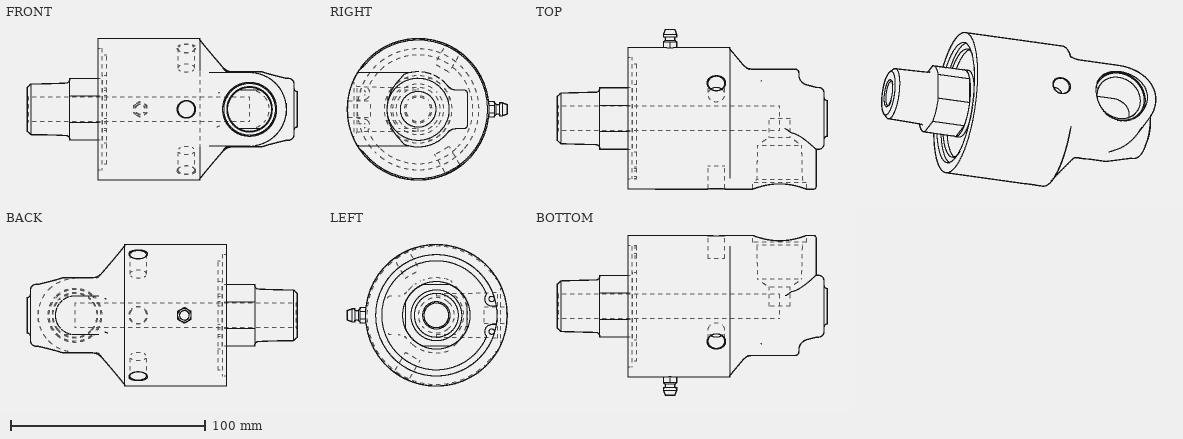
import cadquery as cq
import math


OVERALL_LENGTH = 139.0
TIP_CHAMFER_END = 1.9
THREAD_END = 20.3
SQUARE_START = 21.8
BODY_START = 36.4
FLATS_END = 38.8
BODY_END = 88.9
PORT_X = 114.45
NECK_TAPER_START = 120.5
NECK_TAPER_END = 133.4
CAP_END = 137.4

SHAFT_DIA = 34.8
SQUARE_ACROSS_FLATS = 31.75
SQUARE_CORNER_DIA = 34.5
TIP_DIA = 22.63
THREAD_START_DIA = 26.2
THREAD_END_DIA = 27.18
RUNOUT_DIA = 30.4
RUNOUT_RADIUS = 1.8
SHAFT_BORE_DIA = 12.7
SHAFT_BORE_CHAMFER = 0.7

BODY_DIA = 73.0
RECESS_DIA = 62.5
RECESS_DEPTH = 4.4
RING_DEPTH = 2.2
RING_INNER_DIA = 56.2
LUG_DIA = 7.2
LUG_HOLE_DIA = 2.79
LUG_HOLE_Y = -28.5
LUG_HOLE_Z = 8.4

CONE_START_DIA = 71.4
CONE_ANGLE = 50.0
NECK_DIA = 38.8
NECK_BLEND = 6.0
CAP_DIA = 32.0
CAP_FILLET = 3.0
CAP_BOSS_DIA = 18.4

PORT_HALF_HEIGHT = 18.9
PORT_EDGE_FILLET = 1.5
PORT_MOUTH_DIA = 27.8
PORT_MOUTH_END_Y = -33.0
PORT_SEAT_DIA = 26.6
PORT_THREAD_DIA = 23.4
PORT_BORE_DIA = 22.63

PAD_RADIUS = 10.0
PAD_FACE_Y = 25.4
PAD_EDGE_FILLET = 2.0
PAD_BLEND = 5.3

TUBE_DIA = 28.0
TUBE_HEIGHT = 19.8

WEEP_X = 81.9
WEEP_DIA = 8.6
WEEP_MOUTH_DIA = 9.6
WEEP_DEPTH = 12.0
WEEP_COUNT = 3

NIPPLE_X = 58.1
NIPPLE_HEX_FLATS = 7.0
NIPPLE_HEX_HEIGHT = 2.8
NIPPLE_SHOULDER_HEIGHT = 3.6
NIPPLE_NECK_HEIGHT = 5.4
NIPPLE_BALL_HEIGHT = 6.8
NIPPLE_HEIGHT = 9.38
NIPPLE_NECK_DIA = 5.36
NIPPLE_WAIST_DIA = 4.9
NIPPLE_BALL_DIA = 6.9
NIPPLE_TIP_DIA = 4.9

OVERLAP = 6.0
PICK_MARGIN = 0.2


def disc(x_start, x_end, dia):
    """Cylinder on the main axis between two stations."""
    return cq.Workplane("YZ", origin=(x_start, 0, 0)).circle(dia / 2).extrude(x_end - x_start)


def turned(points):
    """Solid of revolution about the main axis from (x, radius) points."""
    return cq.Workplane("XY").polyline(points).close().revolve(360, (0, 0, 0), (1, 0, 0))


def turned_about_y(x, points):
    """Solid of revolution about a Y-parallel axis at x, from (radius, y) points."""
    profile = cq.Workplane("XY", origin=(x, 0, 0)).polyline(points).close()
    return profile.revolve(360, (0, 0, 0), (0, 1, 0))


def edges_in_box(solid, low, high):
    """Edges of the solid that lie wholly inside the box, widened by a small margin."""
    low_corner = [value - PICK_MARGIN for value in low]
    high_corner = [value + PICK_MARGIN for value in high]
    return solid.edges(cq.selectors.BoxSelector(low_corner, high_corner, boundingbox=True)).vals()


def blend(solid, radius, edges):
    return cq.Workplane(solid.val().fillet(radius, edges))


def make_shaft():
    """Taper-threaded shaft with a run-out fillet and a square with turned corners."""
    disc_face = BODY_START + RECESS_DEPTH
    shaft = (
        cq.Workplane("XY")
        .lineTo(0, TIP_DIA / 2)
        .lineTo(TIP_CHAMFER_END, THREAD_START_DIA / 2)
        .lineTo(THREAD_END, THREAD_END_DIA / 2)
        .radiusArc((SQUARE_START, RUNOUT_DIA / 2), -RUNOUT_RADIUS)
        .lineTo(SQUARE_START, SHAFT_DIA / 2)
        .lineTo(disc_face + OVERLAP, SHAFT_DIA / 2)
        .lineTo(disc_face + OVERLAP, 0)
        .close()
        .revolve(360, (0, 0, 0), (1, 0, 0))
    )
    flats = disc(SQUARE_START, FLATS_END, SHAFT_DIA + OVERLAP).cut(
        cq.Workplane("YZ", origin=(SQUARE_START, 0, 0))
        .rect(SQUARE_ACROSS_FLATS, SQUARE_ACROSS_FLATS)
        .extrude(FLATS_END - SQUARE_START)
        .intersect(disc(SQUARE_START, FLATS_END, SQUARE_CORNER_DIA))
    )
    return shaft.cut(flats)


def make_snap_ring():
    """Open ring lying on the recess floor, with a drilled lug at each end of its gap."""
    ring_start = BODY_START + RING_DEPTH
    ring_end = BODY_START + RECESS_DEPTH + OVERLAP
    plane = cq.Workplane("YZ", origin=(ring_start, 0, 0))
    thickness = ring_end - ring_start
    hole_points = [(LUG_HOLE_Y, LUG_HOLE_Z), (LUG_HOLE_Y, -LUG_HOLE_Z)]
    lug_bar_points = [(y - LUG_DIA / 2, z) for y, z in hole_points]
    gap_width = 2 * LUG_HOLE_Z - LUG_DIA

    ring = plane.circle(RECESS_DIA / 2).circle(RING_INNER_DIA / 2).extrude(thickness)
    gap = plane.center(-RECESS_DIA / 2, 0).rect(RECESS_DIA, 2 * LUG_HOLE_Z).extrude(thickness)
    lugs = plane.pushPoints(hole_points).circle(LUG_DIA / 2).extrude(thickness)
    lug_bars = plane.pushPoints(lug_bar_points).rect(LUG_DIA, LUG_DIA).extrude(thickness)
    lugs = lugs.union(lug_bars).intersect(disc(ring_start, ring_end, RECESS_DIA))
    holes = plane.pushPoints(hole_points).circle(LUG_HOLE_DIA / 2).extrude(RECESS_DEPTH - RING_DEPTH)
    gap_clear = plane.center(-RECESS_DIA / 2, 0).rect(RECESS_DIA, gap_width).extrude(thickness)
    return ring.cut(gap).union(lugs).cut(gap_clear).cut(holes)


def make_body():
    """Main cylinder with the front recess."""
    body = disc(BODY_START, BODY_END, BODY_DIA)
    return body.cut(disc(BODY_START, BODY_START + RECESS_DEPTH, RECESS_DIA))


def round_ended_prism(x_start, half_height, y_start, y_end):
    """Prism along Y whose +X end is rounded about the port axis."""
    return (
        cq.Workplane("XZ", origin=(0, y_start, 0))
        .moveTo(x_start, -half_height)
        .lineTo(PORT_X, -half_height)
        .threePointArc((PORT_X + half_height, 0), (PORT_X, half_height))
        .lineTo(x_start, half_height)
        .close()
        .extrude(y_start - y_end)
    )


def make_cap_boss():
    """Low boss on the end cap, flared into the cap face by a quarter round."""
    boss_r = CAP_BOSS_DIA / 2
    flare = OVERALL_LENGTH - CAP_END
    return (
        cq.Workplane("XY")
        .moveTo(CAP_END - OVERLAP, 0)
        .lineTo(CAP_END - OVERLAP, boss_r + flare)
        .lineTo(CAP_END, boss_r + flare)
        .radiusArc((OVERALL_LENGTH, boss_r), -flare)
        .lineTo(OVERALL_LENGTH, 0)
        .close()
        .revolve(360, (0, 0, 0), (1, 0, 0))
    )


def make_head():
    """Cone, neck, port block and pad, blended together and trimmed to the body diameter."""
    neck_r = NECK_DIA / 2
    slope = math.tan(math.radians(CONE_ANGLE))
    neck_start = BODY_END + (CONE_START_DIA / 2 - neck_r) / slope
    cone_base_x = BODY_END - OVERLAP
    cone_base_r = CONE_START_DIA / 2 + OVERLAP * slope
    core = turned(
        [
            (cone_base_x, 0),
            (cone_base_x, cone_base_r),
            (neck_start, neck_r),
            (NECK_TAPER_START, neck_r),
            (NECK_TAPER_END, CAP_DIA / 2),
            (CAP_END, CAP_DIA / 2),
            (CAP_END, 0),
        ]
    )
    core = core.edges(">X").fillet(CAP_FILLET)
    block = round_ended_prism(cone_base_x, PORT_HALF_HEIGHT, 0, -BODY_DIA)
    pad = round_ended_prism(BODY_END, PAD_RADIUS, PAD_FACE_Y, 0)
    pad = pad.faces(">Y").edges("not <X").fillet(PAD_EDGE_FILLET)
    head = core.union(block).union(pad)

    pad_foot_y = math.sqrt(neck_r**2 - PAD_RADIUS**2)
    pad_end_x = PORT_X + PAD_RADIUS
    pad_edges = edges_in_box(head, (neck_start, pad_foot_y, -PAD_RADIUS), (pad_end_x, neck_r, PAD_RADIUS))
    for z in (-PAD_RADIUS, PAD_RADIUS):
        pad_edges += edges_in_box(head, (BODY_END, pad_foot_y, z), (neck_start, PAD_FACE_Y, z))
    head = blend(head, PAD_BLEND, pad_edges)

    cone_edges = edges_in_box(head, (neck_start, -neck_r, -neck_r), (neck_start, neck_r, neck_r))
    for z in (-PORT_HALF_HEIGHT, PORT_HALF_HEIGHT):
        cone_edges += edges_in_box(head, (cone_base_x, -cone_base_r, z), (neck_start, 0, z))
    head = blend(head, NECK_BLEND, cone_edges)

    head = head.intersect(disc(BODY_END - OVERLAP / 2, OVERALL_LENGTH, BODY_DIA))
    rim_y = -math.sqrt((BODY_DIA / 2) ** 2 - PORT_HALF_HEIGHT**2)
    block_end_x = PORT_X + PORT_HALF_HEIGHT
    rim_low = (BODY_END, -BODY_DIA / 2, -PORT_HALF_HEIGHT)
    rim_high = (block_end_x, rim_y, PORT_HALF_HEIGHT)
    head = blend(head, PORT_EDGE_FILLET, edges_in_box(head, rim_low, rim_high))
    return head.union(make_cap_boss())


def make_nipple():
    """Grease nipple: hexagon, waisted neck and conical ball, on the +Y side."""
    base_y = BODY_DIA / 2
    hex_r = NIPPLE_HEX_FLATS / 2
    neck_r = NIPPLE_NECK_DIA / 2
    ball_r = NIPPLE_BALL_DIA / 2
    hex_corner_dia = NIPPLE_HEX_FLATS / math.cos(math.pi / 6)
    hexagon = (
        cq.Workplane("XZ", origin=(NIPPLE_X, base_y - OVERLAP, 0))
        .transformed(rotate=(0, 0, 90))
        .polygon(6, hex_corner_dia)
        .extrude(-(OVERLAP + NIPPLE_HEX_HEIGHT))
    )
    waist_y = base_y + (NIPPLE_SHOULDER_HEIGHT + NIPPLE_NECK_HEIGHT) / 2
    stem = (
        cq.Workplane("XY", origin=(NIPPLE_X, 0, 0))
        .moveTo(0, base_y)
        .lineTo(hex_r, base_y)
        .lineTo(hex_r, base_y + NIPPLE_HEX_HEIGHT)
        .lineTo(neck_r, base_y + NIPPLE_SHOULDER_HEIGHT)
        .threePointArc((NIPPLE_WAIST_DIA / 2, waist_y), (neck_r, base_y + NIPPLE_NECK_HEIGHT))
        .lineTo(ball_r, base_y + NIPPLE_NECK_HEIGHT)
        .lineTo(ball_r, base_y + NIPPLE_BALL_HEIGHT)
        .lineTo(NIPPLE_TIP_DIA / 2, base_y + NIPPLE_HEIGHT)
        .lineTo(0, base_y + NIPPLE_HEIGHT)
        .close()
        .revolve(360, (0, 0, 0), (0, 1, 0))
    )
    return hexagon.union(stem)


def make_shaft_bore():
    """Chamfered blind bore along the main axis, ending under the port."""
    bore_r = SHAFT_BORE_DIA / 2
    return turned(
        [
            (0, 0),
            (0, bore_r + SHAFT_BORE_CHAMFER),
            (SHAFT_BORE_CHAMFER, bore_r),
            (PORT_X, bore_r),
            (PORT_X, 0),
        ]
    )


def make_port_hole():
    """Side port: mouth, conical seat and a tapered bore that leaves the flat-sided tube standing."""
    mouth_r = PORT_MOUTH_DIA / 2
    seat_r = PORT_SEAT_DIA / 2
    thread_r = PORT_THREAD_DIA / 2
    bore_r = PORT_BORE_DIA / 2
    hole = turned_about_y(
        PORT_X,
        [
            (0, -BODY_DIA / 2 - OVERLAP),
            (mouth_r, -BODY_DIA / 2 - OVERLAP),
            (mouth_r, PORT_MOUTH_END_Y),
            (seat_r, PORT_MOUTH_END_Y),
            (thread_r, PORT_MOUTH_END_Y + seat_r - thread_r),
            (bore_r, -TUBE_DIA / 2),
            (bore_r, 0),
            (0, 0),
        ],
    )
    flats = cq.Workplane("XY", origin=(PORT_X, 0, 0)).box(PORT_MOUTH_DIA, TUBE_DIA, TUBE_HEIGHT)
    tube = disc(PORT_X - PORT_BORE_DIA, PORT_X + PORT_BORE_DIA, TUBE_DIA).intersect(flats)
    return hole.cut(tube)


def make_weep_holes():
    """Radial blind holes with chamfered mouths, equally spaced from -Y."""
    surface_y = -BODY_DIA / 2
    hole_r = WEEP_DIA / 2
    mouth_r = WEEP_MOUTH_DIA / 2
    hole = turned_about_y(
        WEEP_X,
        [
            (0, surface_y - OVERLAP),
            (mouth_r, surface_y - OVERLAP),
            (mouth_r, surface_y),
            (hole_r, surface_y + mouth_r - hole_r),
            (hole_r, surface_y + WEEP_DEPTH),
            (0, surface_y + WEEP_DEPTH),
        ],
    )
    step = 360 / WEEP_COUNT
    return [hole.rotate((0, 0, 0), (1, 0, 0), step * i) for i in range(WEEP_COUNT)]


result = make_body().union(make_head()).union(make_shaft()).union(make_snap_ring()).union(make_nipple())
result = result.cut(make_shaft_bore()).cut(make_port_hole())
for weep_hole in make_weep_holes():
    result = result.cut(weep_hole)